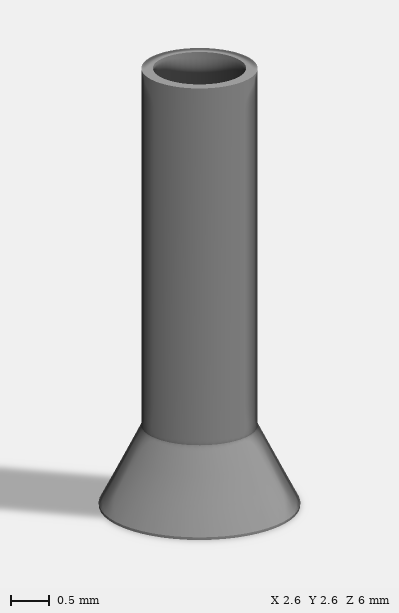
import cadquery as cq

total_height = 6.0
tube_diameter = 1.5
bore_diameter = 1.2
head_diameter = 2.6
head_height = 1.1
rim_height = 0.035

tube_radius = tube_diameter / 2
bore_radius = bore_diameter / 2
head_radius = head_diameter / 2

half_section = (
    cq.Workplane("XZ")
    .moveTo(bore_radius, 0)
    .lineTo(head_radius, 0)
    .lineTo(head_radius, rim_height)
    .lineTo(tube_radius, head_height)
    .lineTo(tube_radius, total_height)
    .lineTo(bore_radius, total_height)
    .close()
)

result = half_section.revolve(360, (0, 0, 0), (0, 1, 0))